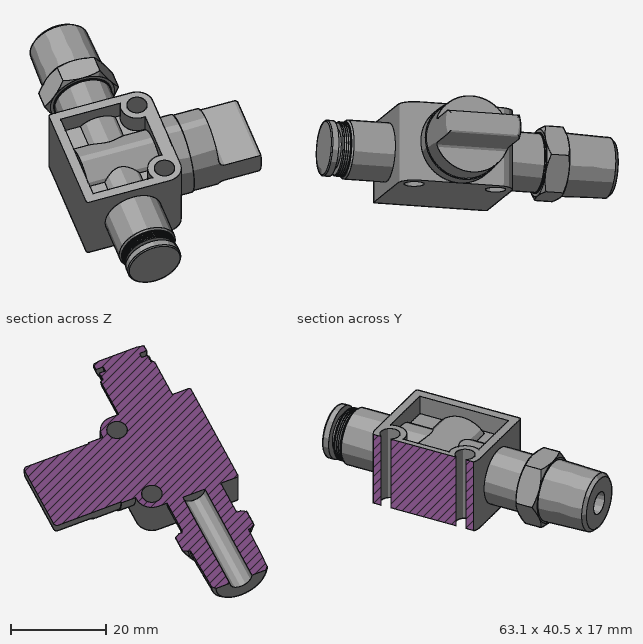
import cadquery as cq
import math


BODY_WIDTH = 24.9
BODY_HEIGHT = 17.0
BODY_BACK_Y = 11.7
BODY_FRONT_Y = -10.35
BODY_CORNER_R = 3.55
BODY_EDGE_R = 0.5
MOUNT_HOLE_D = 4.2

RELIEF_WIDTH = 21.1
RELIEF_BACK_Y = 8.8
RELIEF_FRONT_Y = -8.25
RELIEF_FLOOR_Z = 4.2
PORT_DUCT_D = 11.5
VALVE_DUCT_D = 13.5
VALVE_DUCT_FRONT_Y = -7.45
VALVE_TIP_D = 11.0

COLLAR_D = 17.0
COLLAR_END_Y = 14.95
KNOB_D = 16.5
KNOB_END_Y = 30.15
LEVER_START_Y = 20.75
LEVER_THICKNESS = 5.1
LEVER_ROOT_R = 1.15
LEVER_TIP_R = 0.8

NECK_D = 12.5
MALE_END_X = -36.55
MALE_CHAMFER = 0.75
MALE_FACE_D = 11.5
MALE_SMALL_D = 12.9
MALE_LARGE_D = 13.5
BORE_D = 5.0
HEX_START_X = -25.55
HEX_END_X = -20.5
HEX_ACROSS_CORNERS = 16.5
HEX_CHAMFER_LENGTH = 0.6
HEX_COLLAR_D = 12.9
HEX_COLLAR_LENGTH = 0.25

SOCKET_END_X = 21.9
SOCKET_CHAMFER = 0.4
COLLET_D = 11.1
COLLET_END_X = 23.7
RIB_D = 11.5
RIB_WIDTH = 0.45
RIB_STARTS_X = (22.1, 22.95)
RING_NECK_D = 8.45
RING_START_X = 24.75
RING_D = 11.8
RING_RIM_X = 26.05
RING_CHAMFER = 0.25
RING_FACE_D = 8.6
RING_END_X = 26.55

BODY_HALF_X = BODY_WIDTH / 2
BODY_TOP_Z = BODY_HEIGHT / 2
MOUNT_X = BODY_HALF_X - BODY_CORNER_R
MOUNT_Y = BODY_BACK_Y - BODY_CORNER_R
MOUNT_POINTS = [(-MOUNT_X, MOUNT_Y), (MOUNT_X, MOUNT_Y)]


def rod_x(diameter, start, end):
    """Cylinder on the port axis."""
    return cq.Workplane("YZ", origin=(start, 0, 0)).circle(diameter / 2).extrude(end - start)


def rod_y(diameter, start, end):
    """Cylinder on the valve axis."""
    return cq.Workplane("XZ", origin=(0, start, 0)).circle(diameter / 2).extrude(start - end)


def turned_x(profile):
    """Solid of revolution about the port axis from (x, diameter) pairs."""
    points = [(x, diameter / 2) for x, diameter in profile]
    outline = [(points[0][0], 0)] + points + [(points[-1][0], 0)]
    return cq.Workplane("XY").polyline(outline).close().revolve(360, (0, 0, 0), (1, 0, 0))


def block(width, back, front, bottom, top):
    """Box centred on X = 0."""
    return (
        cq.Workplane("XY", origin=(0, (back + front) / 2, bottom))
        .rect(width, back - front)
        .extrude(top - bottom)
    )


def make_body():
    body = block(BODY_WIDTH, BODY_BACK_Y, BODY_FRONT_Y, -BODY_TOP_Z, BODY_TOP_Z)
    body = body.edges("|Z and >Y").fillet(BODY_CORNER_R)
    return body.edges("|Z and <Y").fillet(BODY_EDGE_R)


def make_relief():
    """Material removed around the ducts and the mounting-hole bosses."""
    relief = block(RELIEF_WIDTH, RELIEF_BACK_Y, RELIEF_FRONT_Y, RELIEF_FLOOR_Z, BODY_TOP_Z)
    bosses = cq.Workplane("XY").pushPoints(MOUNT_POINTS).circle(BODY_CORNER_R).extrude(BODY_TOP_Z)
    return (
        relief.cut(bosses)
        .cut(rod_x(PORT_DUCT_D, -BODY_HALF_X, BODY_HALF_X))
        .cut(rod_y(VALVE_DUCT_D, VALVE_DUCT_FRONT_Y, BODY_BACK_Y))
        .cut(rod_y(VALVE_TIP_D, BODY_FRONT_Y, VALVE_DUCT_FRONT_Y))
    )


def make_knob():
    knob = rod_y(KNOB_D, COLLAR_END_Y, KNOB_END_Y)
    lever_half = LEVER_THICKNESS / 2
    flat_length = KNOB_END_Y - LEVER_START_Y
    for side in (-1, 1):
        flat = (
            cq.Workplane("XY")
            .box(KNOB_D, flat_length, KNOB_D / 2, centered=(True, False, False))
            .edges("|X and <Y and <Z")
            .fillet(LEVER_ROOT_R)
            .translate((0, LEVER_START_Y, lever_half))
        )
        if side < 0:
            flat = flat.mirror("XY")
        knob = knob.cut(flat)
    knob = knob.faces(">Y").edges().fillet(LEVER_TIP_R)
    return knob.union(rod_y(COLLAR_D, 0, COLLAR_END_Y))


def make_hexagon():
    """Hexagon with corners on +Y and -Y and both ends chamfered conically."""
    across_flats = HEX_ACROSS_CORNERS * math.cos(math.pi / 6)
    hexagon = (
        cq.Workplane("YZ", origin=(HEX_START_X, 0, 0))
        .polygon(6, HEX_ACROSS_CORNERS)
        .extrude(HEX_END_X - HEX_START_X)
    )
    envelope = turned_x([
        (HEX_START_X, across_flats),
        (HEX_START_X + HEX_CHAMFER_LENGTH, HEX_ACROSS_CORNERS),
        (HEX_END_X - HEX_CHAMFER_LENGTH, HEX_ACROSS_CORNERS),
        (HEX_END_X, across_flats),
    ])
    return hexagon.intersect(envelope)


def make_male_connector():
    thread = turned_x([
        (MALE_END_X, MALE_FACE_D),
        (MALE_END_X + MALE_CHAMFER, MALE_SMALL_D),
        (HEX_START_X, MALE_LARGE_D),
    ])
    collar = rod_x(HEX_COLLAR_D, HEX_END_X, HEX_END_X + HEX_COLLAR_LENGTH)
    neck = rod_x(NECK_D, HEX_END_X, -BODY_HALF_X)
    return thread.union(make_hexagon()).union(collar).union(neck)


def make_socket():
    socket = rod_x(NECK_D, BODY_HALF_X, SOCKET_END_X).faces(">X").chamfer(SOCKET_CHAMFER)
    socket = socket.union(rod_x(COLLET_D, SOCKET_END_X, COLLET_END_X))
    for start in RIB_STARTS_X:
        socket = socket.union(rod_x(RIB_D, start, start + RIB_WIDTH))
    ring = turned_x([
        (COLLET_END_X, RING_NECK_D),
        (RING_START_X, RING_NECK_D),
        (RING_START_X, RING_D),
        (RING_RIM_X, RING_D),
        (RING_RIM_X + RING_CHAMFER, RING_D - 2 * RING_CHAMFER),
        (RING_END_X, RING_FACE_D),
    ])
    return socket.union(ring)


mount_holes = (
    cq.Workplane("XY", origin=(0, 0, -BODY_TOP_Z))
    .pushPoints(MOUNT_POINTS)
    .circle(MOUNT_HOLE_D / 2)
    .extrude(BODY_HEIGHT)
)

result = (
    make_body()
    .union(make_knob())
    .cut(make_relief())
    .cut(mount_holes)
    .union(make_male_connector())
    .union(make_socket())
    .cut(rod_x(BORE_D, MALE_END_X, -BODY_HALF_X))
)